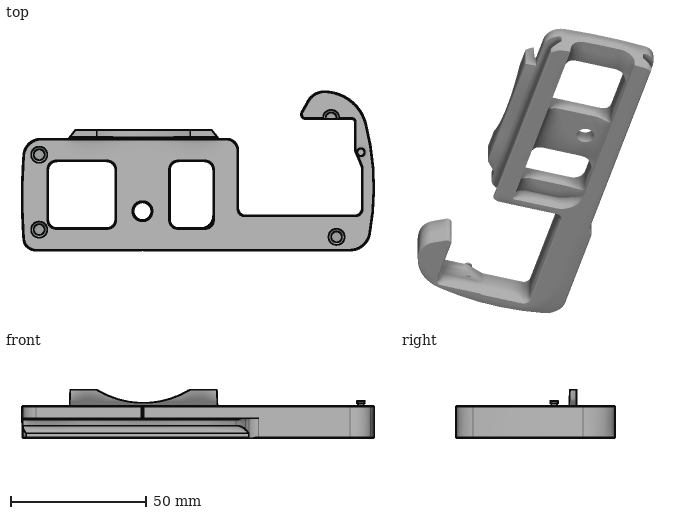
import cadquery as cq
import math


plate_thickness = 12.0
overall_height = 18.0
edge_chamfer = 0.4
plate_left = -44.69
plate_depth = 41.5
body_right = 35.5
body_corner_radius = 4.5
left_crown_y = 22.0
left_front_corner = (-43.8, 0)
left_rear_corner = (-43.6, plate_depth)
left_front_radius = 4.7
left_rear_radius = 6.8
right_front_corner = (82.86, 0)
right_front_radius = 7.6

hook_tip = (67.2, 59.0)
hook_back_end = (82.81, 46.9)
hook_shoulder = (61.2, 55.5)
hook_nose = (57.4, 48.7)
hook_nose_radius = 1.7
hook_face_y = hook_nose[1]
arm_inner_x = 81.1
beam_rear_y = 13.05
beam_corner_radius = 2.5
hook_corner_radius = 1.9

pad_face_x = 78.5
pad_full_y = 37.2
pad_start_y = 30.8
pad_bottom_z = 6.5
pad_slope_top_z = 8.4
pad_corner_radius = 1.0

window_front = 8.4
window_rear = 33.0
left_window = (-34.8, -10.1)
right_window = (10.2, 26.1)
window_radius = 3.0
ledge_corner_radius = 4.4
tripod_diameter = 6.5
tripod_y = 14.6
rim_chamfer = 0.5
rim_slope = 45

seat_diameter = 6.0
seat_floor_diameter = 4.0
seat_depth = 1.4
seat_places = [(-38.2, 35.5), (-38.2, 7.8), (71.8, 5.1), (69.8, 49.1)]

pin_place = (80.8, 36.4)
pin_diameter = 3.0
pin_neck_diameter = 2.2
pin_height = 1.9
pin_head_height = 0.9
pin_chamfer = 0.2

groove_depth = 5.1
groove_top_z = 7.4
groove_corner = 0.6
neck_bottom_z = 4.7
lip_top_z = 1.9
lip_inset = 1.6
groove_end_x = 42.8
groove_end_radius = 4.5
groove_end_angle = math.radians(52)

channel_height = 6.2
channel_end_x = 32.5
channel_corner_radius = 8.2
channel_arch_radius = 5.2

lever_left_foot = -27.3
lever_right_foot = 28.1
lever_taper = 0.4
lever_back_y = 44.7
lever_top_front_y = 42.2
lever_bottom_z = groove_top_z
lever_back_bottom_z = 10.1
lever_back_inset = 2.5
lever_embed = 0.5
dip_left = -17.0
dip_right = 17.6
dip_z = 13.1

notch_width = 1.0
notch_depth = 0.4

overcut = 5.0


def crest_arc_middle(crest, end_point):
    """Middle of the arc that leaves crest along X and ends at end_point."""
    dx = end_point[0] - crest[0]
    dy = end_point[1] - crest[1]
    radius = (dx**2 + dy**2) / (2 * dy)
    half_turn = math.atan2(abs(dy), abs(dx))
    return (
        crest[0] + math.copysign(radius * math.sin(half_turn), dx),
        crest[1] + radius * (1 - math.cos(half_turn)),
    )


def fillet_corner(solid, corner, radius):
    """Round the upright edge at one corner of the outline."""
    edge = cq.selectors.NearestToPointSelector((*corner, plate_thickness / 2))
    return solid.edges("|Z").edges(edge).fillet(radius)


def plate_blank():
    """Plate, arm and hook with rounded corners and chamfered edges."""
    pad_corner = (pad_face_x, hook_face_y)
    beam_right_corner = (arm_inner_x, beam_rear_y)
    beam_left_corner = (body_right, beam_rear_y)
    body_corner = (body_right, plate_depth)
    blank = (
        cq.Workplane("XY")
        .moveTo(*hook_tip)
        .threePointArc(crest_arc_middle(hook_tip, hook_back_end), hook_back_end)
        .tangentArcPoint(right_front_corner, relative=False)
        .lineTo(*left_front_corner)
        .threePointArc((plate_left, left_crown_y), left_rear_corner)
        .lineTo(*body_corner)
        .lineTo(*beam_left_corner)
        .lineTo(*beam_right_corner)
        .lineTo(arm_inner_x, pad_start_y)
        .lineTo(pad_face_x, pad_full_y)
        .lineTo(*pad_corner)
        .lineTo(*hook_nose)
        .lineTo(*hook_shoulder)
        .threePointArc(crest_arc_middle(hook_tip, hook_shoulder), hook_tip)
        .close()
        .extrude(plate_thickness)
    )
    rounded_corners = [
        (right_front_corner, right_front_radius),
        (left_front_corner, left_front_radius),
        (left_rear_corner, left_rear_radius),
        (body_corner, body_corner_radius),
        (beam_left_corner, beam_corner_radius),
        (beam_right_corner, beam_corner_radius),
        (pad_corner, pad_corner_radius),
        (hook_nose, hook_nose_radius),
    ]
    for corner, radius in rounded_corners:
        blank = fillet_corner(blank, corner, radius)
    return blank.faces("<Z or >Z").edges().chamfer(edge_chamfer)


def pad_undercut():
    """Space below the arm pad: a slot with a sloped roof and a rounded inner corner."""
    corner_y = hook_face_y - hook_corner_radius
    slot = (
        cq.Workplane("XZ", origin=(0, pad_start_y, 0))
        .polyline([
            (pad_face_x - overcut, -overcut),
            (arm_inner_x, -overcut),
            (arm_inner_x, pad_bottom_z),
            (pad_face_x, pad_slope_top_z),
            (pad_face_x - overcut, pad_slope_top_z),
        ])
        .close()
        .extrude(pad_start_y - hook_face_y)
    )
    plan = (
        cq.Workplane("XY", origin=(0, 0, -overcut))
        .moveTo(pad_face_x - overcut, pad_start_y)
        .lineTo(arm_inner_x, pad_start_y)
        .lineTo(arm_inner_x, corner_y)
        .radiusArc((arm_inner_x - hook_corner_radius, hook_face_y), -hook_corner_radius)
        .lineTo(pad_face_x - overcut, hook_face_y)
        .close()
        .extrude(overcut + plate_thickness)
    )
    return slot.intersect(plan)


def window(x_range, front_right_radius):
    """Through window with a chamfered upper rim; its front right corner may be rounder."""
    width = x_range[1] - x_range[0]
    depth = window_rear - window_front
    centre = (sum(x_range) / 2, (window_front + window_rear) / 2)
    front_right = (x_range[1], window_front, plate_thickness / 2)
    opening = (
        cq.Workplane("XY").center(*centre).rect(width, depth)
        .extrude(plate_thickness)
        .edges("|Z").edges("<X or >Y").fillet(window_radius)
        .edges("|Z").edges(cq.selectors.NearestToPointSelector(front_right))
        .fillet(front_right_radius)
    )
    rim = (
        cq.Workplane("XY", origin=(*centre, plate_thickness))
        .sketch()
        .rect(width + 2 * edge_chamfer, depth + 2 * edge_chamfer)
        .vertices().fillet(window_radius + edge_chamfer)
        .finalize()
        .extrude(-edge_chamfer, taper=rim_slope)
    )
    return opening.union(rim)


def cone_seat(place, top_diameter, bottom_diameter, depth):
    """Cone that opens at the top face."""
    cone = cq.Solid.makeCone(
        bottom_diameter / 2, top_diameter / 2, depth,
        pnt=cq.Vector(*place, plate_thickness - depth),
    )
    return cq.Workplane(cone)


def tripod_hole():
    """Through hole with a chamfered upper rim."""
    bore = (
        cq.Workplane("XY").center(0, tripod_y)
        .circle(tripod_diameter / 2).extrude(plate_thickness)
    )
    rim = cone_seat((0, tripod_y), tripod_diameter + 2 * rim_chamfer, tripod_diameter, rim_chamfer)
    return bore.union(rim)


def groove_section(start_x, end_x):
    """Dovetail groove at the front: a straight neck above a lip with a sloped top."""
    return (
        cq.Workplane("YZ", origin=(start_x, 0, 0))
        .polyline([
            (-overcut, groove_top_z),
            (groove_depth - groove_corner, groove_top_z),
            (groove_depth, groove_top_z - groove_corner),
            (groove_depth, neck_bottom_z),
            (lip_inset, lip_top_z),
            (lip_inset, edge_chamfer),
            (lip_inset + edge_chamfer, 0),
            (lip_inset + edge_chamfer, -overcut),
            (-overcut, -overcut),
        ])
        .close()
        .extrude(end_x - start_x)
    )


def front_groove():
    """Front groove, ended on the right by an S-shaped wall."""
    left = plate_left - overcut
    arc_x = groove_end_radius * math.sin(groove_end_angle)
    arc_y = groove_end_radius * (1 - math.cos(groove_end_angle))
    mid_x = groove_end_radius * math.sin(groove_end_angle / 2)
    mid_y = groove_end_radius * (1 - math.cos(groove_end_angle / 2))
    straight_x = (groove_depth - 2 * arc_y) / math.tan(groove_end_angle)
    wall_x = groove_end_x - 2 * arc_x - straight_x
    plan = (
        cq.Workplane("XY", origin=(0, 0, -overcut))
        .moveTo(left, -overcut)
        .lineTo(groove_end_x, -overcut)
        .lineTo(groove_end_x, 0)
        .threePointArc((groove_end_x - mid_x, mid_y), (groove_end_x - arc_x, arc_y))
        .lineTo(wall_x + arc_x, groove_depth - arc_y)
        .threePointArc((wall_x + mid_x, groove_depth - mid_y), (wall_x, groove_depth))
        .lineTo(left, groove_depth)
        .close()
        .extrude(plate_thickness + overcut)
    )
    return groove_section(left, groove_end_x).intersect(plan)


def rear_groove():
    """Mirror image of the front groove, running out through the right of the body."""
    middle = cq.Vector(0, plate_depth / 2, 0)
    return groove_section(plate_left - overcut, body_right + overcut).mirror("XZ", middle)


def channel():
    """Arched channel under the windows, with one rounded corner at its closed end."""
    length = channel_end_x - plate_left + overcut
    depth = window_rear - window_front
    centre_y = (window_front + window_rear) / 2
    block = (
        cq.Workplane("XY")
        .box(length, depth, channel_height, centered=(False, True, False))
        .translate((plate_left - overcut, centre_y, 0))
    )
    arched = block.edges("|X and >Z").fillet(channel_arch_radius)
    rounded = block.edges("|Z and >X and <Y").fillet(channel_corner_radius)
    return arched.intersect(rounded)


def thumb_lever():
    """Upright rest behind the plate with a dipped upper edge and a sloped underside."""
    front_y = plate_depth - lever_embed
    middle_x = (lever_left_foot + lever_right_foot) / 2
    section = (
        cq.Workplane("YZ", origin=(lever_left_foot, 0, 0))
        .polyline([
            (front_y, lever_bottom_z),
            (plate_depth, lever_bottom_z),
            (lever_back_y, lever_back_bottom_z),
            (lever_back_y, overall_height),
            (lever_top_front_y, overall_height),
            (plate_depth + edge_chamfer, plate_thickness),
            (front_y, plate_thickness - edge_chamfer),
        ])
        .close()
        .extrude(lever_right_foot - lever_left_foot)
    )
    face = (
        cq.Workplane("XZ", origin=(0, lever_back_y, 0))
        .moveTo(lever_left_foot, lever_bottom_z)
        .lineTo(lever_right_foot, lever_bottom_z)
        .lineTo(lever_right_foot, plate_thickness)
        .lineTo(lever_right_foot - lever_taper, overall_height)
        .lineTo(dip_right, overall_height)
        .threePointArc(((dip_left + dip_right) / 2, dip_z), (dip_left, overall_height))
        .lineTo(lever_left_foot + lever_taper, overall_height)
        .lineTo(lever_left_foot, plate_thickness)
        .close()
        .extrude(lever_back_y - front_y)
    )
    half_foot = (lever_right_foot - lever_left_foot) / 2
    half_back = half_foot - lever_back_inset
    plan = (
        cq.Workplane("XY", origin=(middle_x, 0, 0))
        .polyline([
            (-half_foot, front_y),
            (half_foot, front_y),
            (half_foot, plate_depth),
            (half_back, lever_back_y),
            (-half_back, lever_back_y),
            (-half_foot, plate_depth),
        ])
        .close()
        .extrude(overall_height)
    )
    return section.intersect(face).intersect(plan)


def locating_pin():
    """Headed pin standing on the arm."""
    neck = (
        cq.Workplane("XY", origin=(*pin_place, plate_thickness - overcut))
        .circle(pin_neck_diameter / 2).extrude(overcut + pin_height)
    )
    head = (
        cq.Workplane("XY", origin=(*pin_place, plate_thickness + pin_height - pin_head_height))
        .circle(pin_diameter / 2).extrude(pin_head_height)
        .faces(">Z").chamfer(pin_chamfer)
    )
    return neck.union(head)


def index_notch():
    """V-shaped mark in the band above the front groove."""
    return (
        cq.Workplane("XY", origin=(0, 0, groove_top_z))
        .polyline([(-notch_width / 2, 0), (notch_width / 2, 0), (0, notch_depth)])
        .close()
        .extrude(plate_thickness - groove_top_z)
    )


body = plate_blank().cut(pad_undercut())
body = body.cut(front_groove()).cut(rear_groove()).cut(channel())
body = body.cut(window(left_window, window_radius))
body = body.cut(window(right_window, ledge_corner_radius))
body = body.cut(tripod_hole()).cut(index_notch())
for place in seat_places:
    body = body.cut(cone_seat(place, seat_diameter, seat_floor_diameter, seat_depth))

result = body.union(thumb_lever()).union(locating_pin())